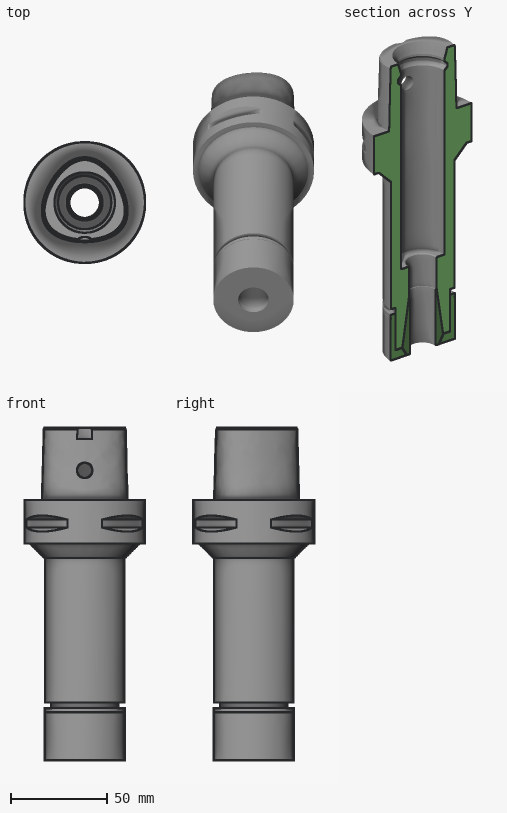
import cadquery as cq
import math

total_length = 173.0

shank_base_z = 135.5
shank_mean_radius = 22.1
lobe_height = 1.47
shank_taper = 0.027
shank_rim_chamfer_height = 1.0
shank_rim_chamfer_width = 0.5
shank_outline_points = 36

flange_radius = 31.5
flange_bottom_z = 112.8
cone_top_radius = 28.4
body_radius = 20.8
cone_bottom_z = flange_bottom_z - (cone_top_radius - body_radius)
body_bottom_z = 30.1

slot_count = 4
slot_center_z = 123.2
slot_floor_width = 4.0
slot_floor_distance = 27.7
slot_wall_angle = 30.0

mouth_radius = 15.7
throat_radius = 13.8
throat_depth = 6.4
throat_length = 1.2
undercut_depth = 1.9
undercut_end_depth = 13.1
bore_floor_z = 51.9
seat_lead_in = 0.5

notch_radius = 5.2
notch_depth = 5.9
notch_center_y = -23.0
cross_hole_radius = 4.0
cross_hole_z = 150.9

nut_radius = 21.0
nut_top_z = 27.2
nut_groove_offset = 2.0
nut_groove_width = 0.26
nut_groove_depth = 0.2
spigot_radius = 17.6
spigot_bottom_z = 5.2

collet_bore_radius = 8.0
collet_top_z = 32.9
collet_top_radius = 8.8
collet_base_radius = 13.0
collet_face_radius = 10.0


def revolved(points):
    """Solid of revolution about Z from (radius, z) points."""
    return cq.Workplane("XZ").polyline(points).close().revolve(360, (0, 0, 0), (0, 1, 0))


def lobed_wire(mean_radius, z):
    """Smooth closed three-lobed curve with one lobe pointing along +Y."""
    points = []
    for index in range(shank_outline_points):
        angle = 2 * math.pi * index / shank_outline_points
        x = -mean_radius * math.sin(angle) + lobe_height * math.sin(2 * angle)
        y = mean_radius * math.cos(angle) + lobe_height * math.cos(2 * angle)
        points.append(cq.Vector(x, y, z))
    return cq.Wire.assembleEdges([cq.Edge.makeSpline(points, periodic=True)])


def make_shank():
    chamfer_z = total_length - shank_rim_chamfer_height
    chamfer_radius = shank_mean_radius - shank_taper * (chamfer_z - shank_base_z)
    base = lobed_wire(shank_mean_radius, shank_base_z)
    chamfer_start = lobed_wire(chamfer_radius, chamfer_z)
    rim = lobed_wire(chamfer_radius - shank_rim_chamfer_width, total_length)
    return cq.Workplane(cq.Solid.makeLoft([base, chamfer_start, rim], True))


def make_outer_body():
    return revolved([
        (0, spigot_bottom_z),
        (spigot_radius, spigot_bottom_z),
        (spigot_radius, body_bottom_z),
        (body_radius, body_bottom_z),
        (body_radius, cone_bottom_z),
        (cone_top_radius, flange_bottom_z),
        (flange_radius, flange_bottom_z),
        (flange_radius, shank_base_z),
        (0, shank_base_z),
    ])


def make_holder_bore():
    """Tapered mouth, throat, undercut with 45 degree walls, plain bore and collet seat."""
    throat_z = total_length - throat_depth
    undercut_top_z = throat_z - throat_length
    undercut_bottom_z = total_length - undercut_end_depth
    undercut_radius = throat_radius + undercut_depth
    return revolved([
        (0, spigot_bottom_z),
        (collet_base_radius, spigot_bottom_z),
        (collet_top_radius, collet_top_z),
        (collet_top_radius, bore_floor_z - seat_lead_in),
        (collet_top_radius + seat_lead_in, bore_floor_z),
        (throat_radius, bore_floor_z),
        (throat_radius, undercut_bottom_z),
        (undercut_radius, undercut_bottom_z + undercut_depth),
        (undercut_radius, undercut_top_z - undercut_depth),
        (throat_radius, undercut_top_z),
        (throat_radius, throat_z),
        (mouth_radius, total_length),
        (0, total_length),
    ])


def make_slot_cutter(angle):
    """Trapezoidal channel across the flange, facing the given direction."""
    slot_depth = flange_radius - slot_floor_distance
    half_floor = slot_floor_width / 2
    half_mouth = half_floor + slot_depth * math.tan(math.radians(slot_wall_angle))
    profile = [
        (slot_floor_distance, slot_center_z - half_floor),
        (flange_radius, slot_center_z - half_mouth),
        (flange_radius, slot_center_z + half_mouth),
        (slot_floor_distance, slot_center_z + half_floor),
    ]
    channel = cq.Workplane("XZ").polyline(profile).close().extrude(flange_radius, both=True)
    return channel.rotate((0, 0, 0), (0, 0, 1), angle)


def make_notch_cutter():
    floor = cq.Workplane("XY", origin=(0, notch_center_y, total_length - notch_depth))
    return floor.circle(notch_radius).extrude(notch_depth)


def make_cross_hole_cutter():
    """Radial hole from the -Y side into the bore."""
    axis_start = cq.Workplane("XZ", origin=(0, 0, cross_hole_z))
    return axis_start.circle(cross_hole_radius).extrude(flange_radius)


def make_holder():
    holder = make_outer_body().union(make_shank())
    holder = holder.cut(make_holder_bore())
    for index in range(slot_count):
        holder = holder.cut(make_slot_cutter((index + 0.5) * 360 / slot_count))
    holder = holder.cut(make_notch_cutter())
    return holder.cut(make_cross_hole_cutter())


def make_nut():
    """Sleeve around the spigot, closed below by a conical lip that holds the collet."""
    groove_top_z = nut_top_z - nut_groove_offset
    groove_bottom_z = groove_top_z - nut_groove_width
    groove_radius = nut_radius - nut_groove_depth
    return revolved([
        (collet_face_radius, 0),
        (nut_radius, 0),
        (nut_radius, groove_bottom_z),
        (groove_radius, groove_bottom_z),
        (groove_radius, groove_top_z),
        (nut_radius, groove_top_z),
        (nut_radius, nut_top_z),
        (spigot_radius, nut_top_z),
        (spigot_radius, spigot_bottom_z),
        (collet_base_radius, spigot_bottom_z),
    ])


def make_collet():
    return revolved([
        (collet_bore_radius, 0),
        (collet_face_radius, 0),
        (collet_base_radius, spigot_bottom_z),
        (collet_top_radius, collet_top_z),
        (collet_bore_radius, collet_top_z),
    ])


holder = make_holder()
nut = make_nut()
collet = make_collet()

result = cq.Compound.makeCompound([holder.val(), nut.val(), collet.val()])